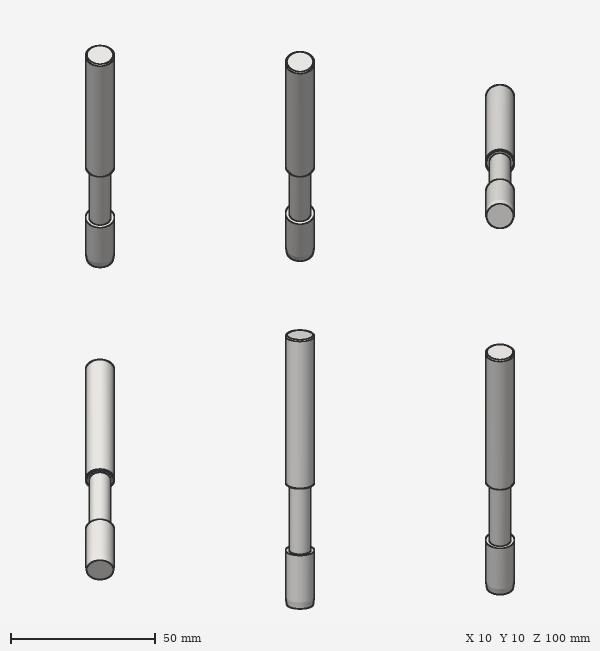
import cadquery as cq

tool_length = 100.0

head_diameter = 10.0
head_length = 20.0
lead_length = 2.6
lead_tip_diameter = 9.3

shank_diameter = 10.0
shank_length = 55.4
shank_bottom = tool_length - shank_length
neck_diameter = 7.5
top_chamfer = 0.5
shoulder_chamfer = 0.4


def make_cutting_head():
    """Cylindrical head that tapers slightly towards the tip."""
    head_profile = (
        cq.Workplane("XZ")
        .lineTo(lead_tip_diameter / 2, 0)
        .lineTo(head_diameter / 2, lead_length)
        .lineTo(head_diameter / 2, head_length)
        .lineTo(0, head_length)
        .close()
    )
    return head_profile.revolve()


def make_shank():
    """Shank with both ends chamfered, standing on a neck that rests on the head."""
    shank = (
        cq.Workplane("XY")
        .workplane(offset=shank_bottom)
        .circle(shank_diameter / 2)
        .extrude(shank_length)
        .faces(">Z")
        .chamfer(top_chamfer)
        .faces("<Z")
        .chamfer(shoulder_chamfer)
    )
    neck = (
        cq.Workplane("XY")
        .workplane(offset=head_length)
        .circle(neck_diameter / 2)
        .extrude(shank_bottom - head_length)
    )
    return shank.union(neck)


cutting_head = make_cutting_head()
shank = make_shank()

result = cq.Compound.makeCompound([cutting_head.val(), shank.val()])